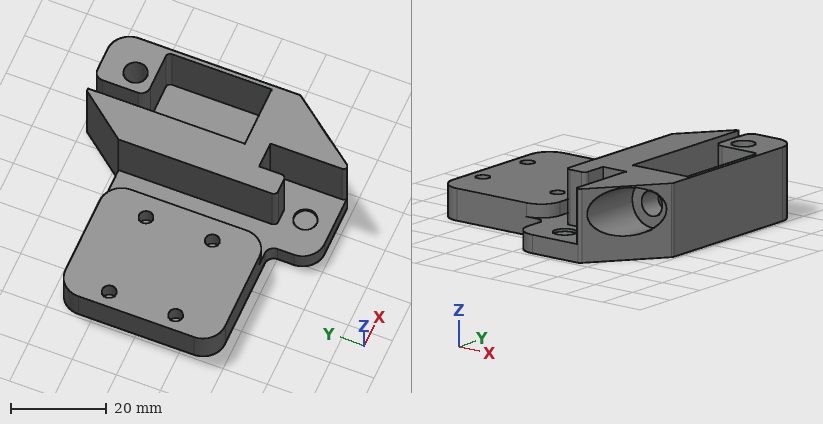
import cadquery as cq

length = 58.5
depth = 57.5
height = 16.0

base_height = 4.05
pad_height = 7.0
pad_width = 28.55
pad_front = 10.65
pad_back = 46.8
corner_radius = 5.0
inside_corner_radius = 2.0
edge_radius = 1.0

wall_left = 33.75
wall_front = 11.05
wall_tip_x = 42.3
notch_left = 38.9
notch_back = 17.1
nose_left = 45.05
nose_arc_end = 45.65
slope_start_x = 46.15
slope_end_y = 15.9

pocket_left = 42.95
pocket_right = 57.5
pocket_front = 22.0
post_left = 46.0
post_front = 45.6
post_radius = 2.0

pad_hole_diameter = 3.1
pad_hole_xs = (3.5, 23.45)
pad_hole_ys = (21.25, 36.25)
hole_floor = 3.45
mount_hole_diameter = 5.1
mount_hole_centers = [(37.5, 6.0), (50.35, 49.85)]
bore_x = 52.4
bore_z = 10.5
bore_diameter = 5.5
counterbore_diameter = 10.5
counterbore_end_y = 16.5


def prism(points, top, bottom=0):
    """Extrude a closed outline between two heights."""
    return cq.Workplane("XY").workplane(offset=bottom).polyline(points).close().extrude(top - bottom)


def round_corner(body, x, y, radius):
    """Fillet the upright edge standing at (x, y)."""
    reach = 0.05
    selector = cq.selectors.BoxSelector(
        (x - reach, y - reach, -height), (x + reach, y + reach, 2 * height)
    )
    return body.edges("|Z").edges(selector).fillet(radius)


def cylinder_along_y(diameter, start_y, end_y):
    """Cylinder on the bore axis between two Y positions."""
    return (
        cq.Workplane("XZ", origin=(bore_x, end_y, bore_z))
        .circle(diameter / 2)
        .extrude(end_y - start_y)
    )


def make_base():
    base = prism(
        [
            (0, pad_front), (pad_width, pad_front), (pad_width, 0), (slope_start_x, 0),
            (length, slope_end_y), (length, depth), (wall_tip_x, depth),
            (wall_left, pad_back), (0, pad_back),
        ],
        base_height,
    )
    for x, y in [(0, pad_front), (0, pad_back), (pad_width, 0), (length, depth)]:
        base = round_corner(base, x, y, corner_radius)
    base = round_corner(base, pad_width, pad_front, inside_corner_radius)
    base = round_corner(base, slope_start_x, 0, edge_radius)
    return round_corner(base, length, slope_end_y, edge_radius)


def make_pad():
    return (
        cq.Workplane("XY")
        .rect(pad_width, pad_back - pad_front)
        .extrude(pad_height)
        .edges("|Z").fillet(corner_radius)
        .translate((pad_width / 2, (pad_front + pad_back) / 2, 0))
    )


def make_block():
    block = prism(
        [
            (wall_left, wall_front), (notch_left, wall_front), (notch_left, notch_back),
            (nose_left, notch_back), (nose_left, edge_radius), (nose_arc_end, 0),
            (slope_start_x, 0), (length, slope_end_y), (length, depth),
            (wall_tip_x, depth), (wall_left, pad_back),
        ],
        height,
    )
    nose_corner = (
        cq.Workplane("XY")
        .moveTo(nose_left, edge_radius)
        .radiusArc((nose_arc_end, 0), -edge_radius)
        .close()
        .extrude(height)
    )
    block = round_corner(block, length, depth, corner_radius)
    for x, y in [
        (wall_left, wall_front), (notch_left, wall_front),
        (slope_start_x, 0), (length, slope_end_y),
    ]:
        block = round_corner(block, x, y, edge_radius)
    return block.union(nose_corner)


def make_pocket():
    pocket = prism(
        [
            (pocket_left, pocket_front), (pocket_right, pocket_front), (pocket_right, post_front),
            (post_left, post_front), (post_left, depth), (pocket_left, depth),
        ],
        height,
        base_height,
    )
    pocket = round_corner(pocket, pocket_right, post_front, edge_radius)
    return round_corner(pocket, post_left, post_front, post_radius)


result = make_base().union(make_pad()).union(make_block()).cut(make_pocket())

post_back_edge = cq.selectors.BoxSelector(
    (post_left - edge_radius, depth - edge_radius, base_height),
    (post_left + edge_radius, depth + edge_radius, height),
)
result = result.edges("|Z").edges(post_back_edge).fillet(post_radius)

pad_hole_centers = [(x, y) for x in pad_hole_xs for y in pad_hole_ys]
for centers, diameter in [
    (pad_hole_centers, pad_hole_diameter),
    (mount_hole_centers, mount_hole_diameter),
]:
    result = result.cut(
        cq.Workplane("XY")
        .workplane(offset=hole_floor)
        .pushPoints(centers)
        .circle(diameter / 2)
        .extrude(height - hole_floor)
    )

result = result.cut(cylinder_along_y(counterbore_diameter, 0, counterbore_end_y))
result = result.cut(cylinder_along_y(bore_diameter, 0, pocket_front))